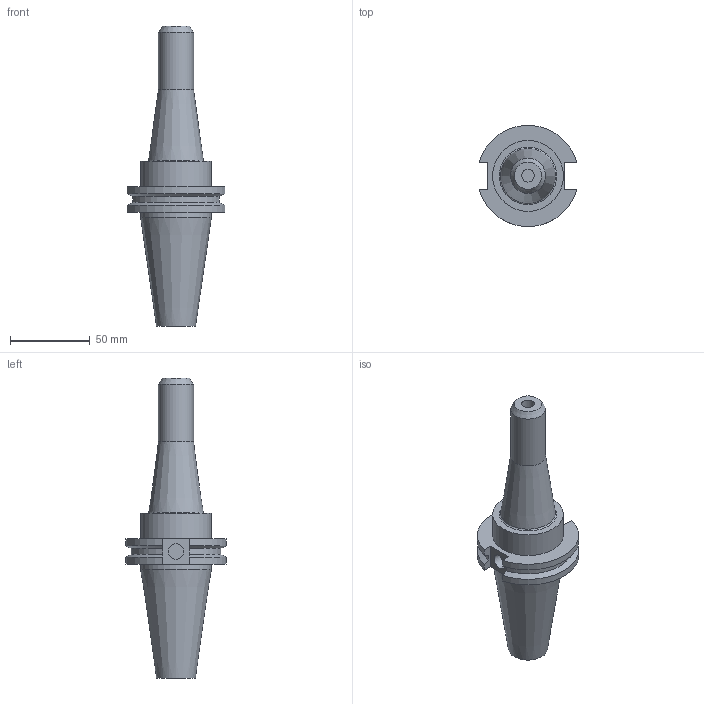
import cadquery as cq
import math

gauge_diameter = 44.45
taper_length = 68.25
taper_ratio = 7 / 24
taper_small_radius = (gauge_diameter - taper_length * taper_ratio) / 2

flange_diameter = 63.5
flange_bottom = 3.18
flange_thickness = 15.87
flange_top = flange_bottom + flange_thickness
groove_root_diameter = 56.4
groove_root_width = 3.75
groove_center = 11.1
groove_wall_angle = 26
groove_depth = (flange_diameter - groove_root_diameter) / 2
groove_wall_height = groove_depth * math.tan(math.radians(groove_wall_angle))

slot_width = 16.38
slot_floor_left = 25.1
slot_floor_right = 22.6
dimple_diameter = 9.7
dimple_depth = 5.5
dimple_height = groove_center

collar_top = 35.0
total_length = 188.14
nose_top = total_length - taper_length
nose_diameter = 22.0
nose_length = 40.0
nose_bottom = nose_top - nose_length
nose_tip_diameter = 17.0
nose_bevel_height = 4.0
neck_base_diameter = 34.5
neck_fillet = 0.9
bore_diameter = 8.0
bore_depth = 40.0


def make_turned_body():
    """Revolve the shank, flange, collar, neck and nose as one profile."""
    gauge_radius = gauge_diameter / 2
    flange_radius = flange_diameter / 2
    groove_radius = groove_root_diameter / 2
    root_bottom = groove_center - groove_root_width / 2
    root_top = groove_center + groove_root_width / 2
    profile = [
        (0, -taper_length),
        (taper_small_radius, -taper_length),
        (gauge_radius, 0),
        (gauge_radius, flange_bottom),
        (flange_radius, flange_bottom),
        (flange_radius, root_bottom - groove_wall_height),
        (groove_radius, root_bottom),
        (groove_radius, root_top),
        (flange_radius, root_top + groove_wall_height),
        (flange_radius, flange_top),
        (gauge_radius, flange_top),
        (gauge_radius, collar_top),
        (neck_base_diameter / 2, collar_top),
        (nose_diameter / 2, nose_bottom),
        (nose_diameter / 2, nose_top - nose_bevel_height),
        (nose_tip_diameter / 2, nose_top),
        (0, nose_top),
    ]
    return cq.Workplane("XZ").polyline(profile).close().revolve(360, (0, 0), (0, 1))


def round_neck_root(body):
    """Fillet the inner circle of the collar top, where the neck meets it."""
    collar_top_edges = body.edges(
        cq.selectors.BoxSelector(
            (-neck_fillet, -neck_fillet, collar_top - neck_fillet),
            (neck_fillet, neck_fillet, collar_top + neck_fillet),
        )
    )
    return collar_top_edges.edges(cq.selectors.RadiusNthSelector(0)).fillet(neck_fillet)


def make_slot(floor_distance, side):
    """Block that removes the flange beyond floor_distance on one X side."""
    block_length = flange_diameter
    block_center = side * (floor_distance + block_length / 2)
    return cq.Workplane("XY", origin=(block_center, 0, flange_bottom)).box(
        block_length, slot_width, flange_thickness, centered=(True, True, False)
    )


def make_dimple():
    """Blind radial hole in the floor of the -X slot."""
    return (
        cq.Workplane("YZ", origin=(-slot_floor_left, 0, dimple_height))
        .circle(dimple_diameter / 2)
        .extrude(dimple_depth)
    )


def make_bore():
    """Blind tool bore down from the nose tip."""
    return cq.Workplane("XY", origin=(0, 0, nose_top)).circle(bore_diameter / 2).extrude(-bore_depth)


result = (
    round_neck_root(make_turned_body())
    .cut(make_slot(slot_floor_left, -1))
    .cut(make_slot(slot_floor_right, 1))
    .cut(make_dimple())
    .cut(make_bore())
)